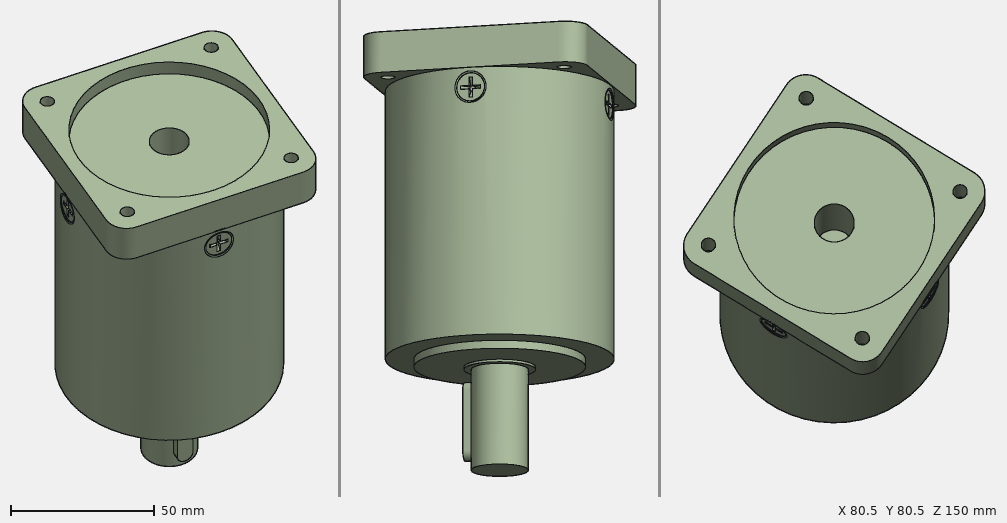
import cadquery as cq
import math

total_length = 150.0

flange_side = 80.5
flange_thickness = 14.5
flange_corner_radius = 8.0
pilot_diameter = 70.0
pilot_depth = 5.5
bolt_circle_diameter = 90.0
bolt_hole_diameter = 5.0

bore_diameter = 14.0
bore_depth = 30.0

body_diameter = 80.0
output_length = 39.8
boss_diameter = 60.0
boss_height = 2.8
collar_diameter = 25.0
collar_height = 0.9
shaft_diameter = 20.0

key_width = 6.0
key_length = 28.0
key_top_radius = 12.6
key_end_gap = 3.9

plug_angles = (0, 90, 180, 270)
plug_diameter = 10.0
plug_chamfer_width = 0.6
plug_chamfer_depth = 0.22
plug_drop = 21.5
plug_sink = 0.6
slot_length = 7.2
slot_bottom_length = 2.0
slot_width = 1.2
slot_depth = 2.7

flange_bottom = total_length - flange_thickness
pilot_floor = total_length - pilot_depth
boss_bottom = output_length - boss_height
collar_bottom = boss_bottom - collar_height
plug_height = total_length - plug_drop
plug_face_radius = body_diameter / 2 - plug_sink


def cylinder(diameter, bottom, top):
    """Cylinder on the Z axis between two heights."""
    return cq.Workplane("XY").workplane(offset=bottom).circle(diameter / 2).extrude(top - bottom)


def make_flange():
    plate = cq.Workplane("XY").workplane(offset=flange_bottom).rect(flange_side, flange_side)
    plate = plate.extrude(flange_thickness).edges("|Z").fillet(flange_corner_radius)
    hole_pitch = bolt_circle_diameter / math.sqrt(2)
    return (
        plate.faces(">Z").workplane()
        .rect(hole_pitch, hole_pitch, forConstruction=True)
        .vertices().hole(bolt_hole_diameter)
    )


def make_key():
    """Key on the +X side of the shaft, rooted at its axis."""
    middle = key_end_gap + key_length / 2
    return (
        cq.Workplane("YZ").center(0, middle)
        .slot2D(key_length, key_width, 90).extrude(key_top_radius)
    )


def make_body():
    """Round body with flat-bottomed plug recesses whose rims are chamfered."""
    body = cylinder(body_diameter, output_length, flange_bottom)
    recess = (
        cq.Workplane("YZ").workplane(offset=plug_face_radius).center(0, plug_height)
        .circle(plug_diameter / 2).extrude(2 * plug_sink)
    )
    for angle in plug_angles:
        body = body.cut(recess.rotate((0, 0, 0), (0, 0, 1), angle))
    rims = body.edges("not(%LINE or %CIRCLE)")
    return rims.chamfer(plug_chamfer_width, plug_chamfer_depth)


def make_cross_slot():
    """Tapered cross slot in the floor of the recess on the +X side."""
    slot = (
        cq.Workplane("XY")
        .polyline([
            (plug_face_radius, -slot_length / 2),
            (plug_face_radius, slot_length / 2),
            (plug_face_radius - slot_depth, slot_bottom_length / 2),
            (plug_face_radius - slot_depth, -slot_bottom_length / 2),
        ])
        .close().extrude(slot_width / 2, both=True)
    )
    crossed_slot = slot.rotate((0, 0, 0), (1, 0, 0), 90)
    return slot.union(crossed_slot).translate((0, 0, plug_height))


result = (
    make_flange()
    .union(make_body())
    .union(cylinder(boss_diameter, boss_bottom, output_length))
    .union(cylinder(collar_diameter, collar_bottom, boss_bottom))
    .union(cylinder(shaft_diameter, 0, collar_bottom))
    .union(make_key())
    .cut(cylinder(pilot_diameter, pilot_floor, total_length))
    .cut(cylinder(bore_diameter, pilot_floor - bore_depth, pilot_floor))
)

cross_slot = make_cross_slot()
for angle in plug_angles:
    result = result.cut(cross_slot.rotate((0, 0, 0), (0, 0, 1), angle))